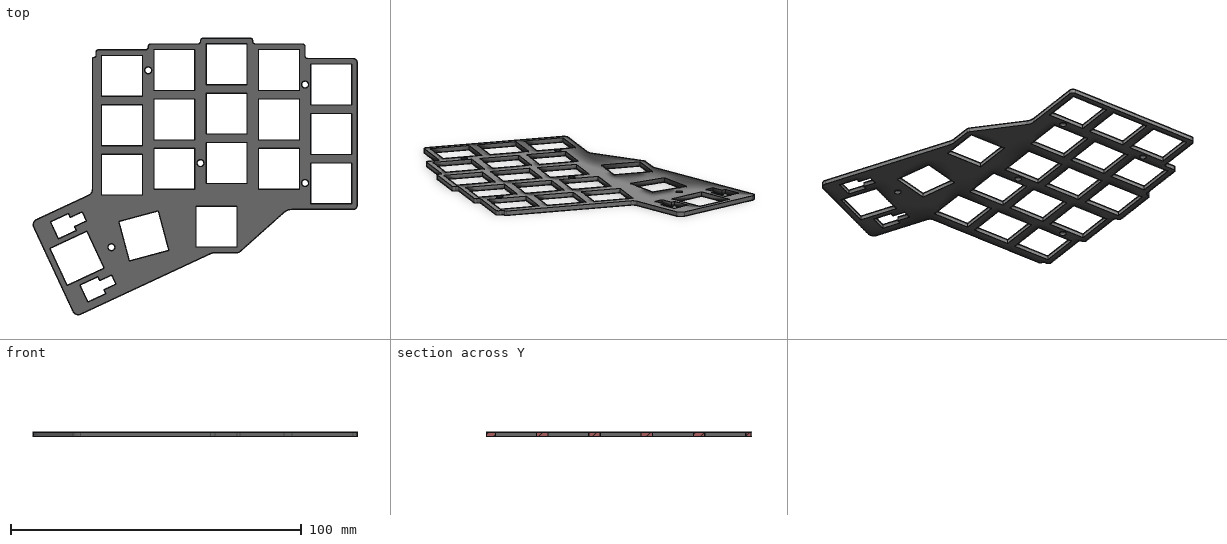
import cadquery as cq
import math


thickness = 1.58
key_size = 14.0
column_pitch = 18.0
row_pitch = 17.0
rim = 2.0
half_key = key_size / 2
reach = half_key + rim

column_drops = [4.0, 2.0, 0.0, 2.0, 7.0]
rows = (1, 0, -1)

inner_thumb = (-3.5, -38.9)
middle_thumb = (-28.5, -42.1)
middle_thumb_angle = 15.0
outer_thumb = (-51.5, -49.8)
outer_thumb_angle = 25.0
outer_thumb_half_length = 18.0

stabilizer_spacing = 24.0
stabilizer_start = -2.95
stabilizer_body_length = 6.75
stabilizer_body_width = 6.4
stabilizer_tab_length = 4.55
stabilizer_tab_width = 3.4

screw_diameter = 2.3
screw_points = [(-27.0, 14.9), (27.0, 10.0), (-9.0, -17.05), (27.0, -23.9), (-39.65, -46.0)]

left_edge_x = -46.25
left_shoulder_y = 19.4
diagonal_top_x = 20.9
diagonal_bottom_x = 4.2
step_radius = 0.9
shoulder_radius = 0.6
corner_radius = 1.5
thumb_corner_radius = 2.0
bend_radius = 4.0


def column_x(column):
    """X of a column centre, the middle column being at zero."""
    return (column - len(column_drops) // 2) * column_pitch


def outer_thumb_point(along, across):
    """Plate position of a point given in the turned frame of the outer thumb key."""
    angle = math.radians(outer_thumb_angle)
    x = outer_thumb[0] + along * math.cos(angle) - across * math.sin(angle)
    y = outer_thumb[1] + along * math.sin(angle) + across * math.cos(angle)
    return (x, y)


def top_edge_y(column):
    return row_pitch - column_drops[column] + reach


def outline_corners():
    """Corners of the plate as (x, y, rounding radius), clockwise from the left shoulder."""
    slope = math.tan(math.radians(outer_thumb_angle))
    last = len(column_drops) - 1
    right_x = column_x(last) + reach
    finger_bottom_y = -row_pitch - column_drops[last] - reach
    thumb_bottom_y = inner_thumb[1] - reach

    corners = [
        (left_edge_x, left_shoulder_y, shoulder_radius),
        (column_x(0) - reach, left_shoulder_y, shoulder_radius),
        (column_x(0) - reach, top_edge_y(0), step_radius),
    ]
    for column in range(last):
        step_x = column_x(column) + column_pitch / 2
        corners.append((step_x, top_edge_y(column), step_radius))
        corners.append((step_x, top_edge_y(column + 1), step_radius))
    corners += [
        (right_x, top_edge_y(last), corner_radius),
        (right_x, finger_bottom_y, corner_radius),
        (diagonal_top_x, finger_bottom_y, bend_radius),
        (diagonal_bottom_x, thumb_bottom_y, corner_radius),
    ]

    lower_left = outer_thumb_point(-reach, -outer_thumb_half_length)
    upper_left = outer_thumb_point(-reach, outer_thumb_half_length)
    bottom_bend_x = lower_left[0] + (thumb_bottom_y - lower_left[1]) / slope
    left_bend_y = upper_left[1] + (left_edge_x - upper_left[0]) * slope
    corners += [
        (bottom_bend_x, thumb_bottom_y, bend_radius),
        (*lower_left, thumb_corner_radius),
        (*upper_left, thumb_corner_radius),
        (left_edge_x, left_bend_y, thumb_corner_radius),
    ]
    return corners


def rounded_corner(before, corner, after):
    """Start, middle and end of the arc that rounds a corner."""
    x, y, radius = corner
    here = cq.Vector(x, y)
    to_before = (cq.Vector(before[0], before[1]) - here).normalized()
    to_after = (cq.Vector(after[0], after[1]) - here).normalized()
    half_angle = to_before.getAngle(to_after) / 2
    setback = radius / math.tan(half_angle)
    bisector = (to_before + to_after).normalized()
    middle = here + bisector * (radius / math.sin(half_angle) - radius)
    return here + to_before * setback, middle, here + to_after * setback


def make_blank():
    """Solid plate with rounded outline."""
    corners = outline_corners()
    count = len(corners)
    arcs = [rounded_corner(corners[i - 1], corners[i], corners[(i + 1) % count]) for i in range(count)]
    last_end = arcs[-1][2]
    outline = cq.Workplane("XY").moveTo(last_end.x, last_end.y)
    for start, middle, end in arcs:
        outline = outline.lineTo(start.x, start.y).threePointArc((middle.x, middle.y), (end.x, end.y))
    return outline.close().extrude(thickness)


def key_opening(centre, angle=0.0):
    opening = cq.Workplane("XY").rect(key_size, key_size).extrude(thickness)
    return opening.rotate((0, 0, 0), (0, 0, 1), angle).translate((*centre, 0))


def stabilizer_opening(side):
    """T-shaped opening beside the outer thumb key; side is +1 or -1."""
    middle = side * stabilizer_spacing / 2
    body_end = stabilizer_start + stabilizer_body_length
    tab_end = body_end + stabilizer_tab_length
    body_half = stabilizer_body_width / 2
    tab_half = stabilizer_tab_width / 2
    profile = [
        (stabilizer_start, -body_half),
        (body_end, -body_half),
        (body_end, -tab_half),
        (tab_end, -tab_half),
        (tab_end, tab_half),
        (body_end, tab_half),
        (body_end, body_half),
        (stabilizer_start, body_half),
    ]
    points = [outer_thumb_point(along, middle + across) for along, across in profile]
    return cq.Workplane("XY").polyline(points).close().extrude(thickness)


def cut_finger_keys(plate):
    for column, drop in enumerate(column_drops):
        for row in rows:
            plate = plate.cut(key_opening((column_x(column), row * row_pitch - drop)))
    return plate


def cut_thumb_keys(plate):
    plate = plate.cut(key_opening(inner_thumb))
    plate = plate.cut(key_opening(middle_thumb, middle_thumb_angle))
    plate = plate.cut(key_opening(outer_thumb, outer_thumb_angle))
    for side in (1, -1):
        plate = plate.cut(stabilizer_opening(side))
    return plate


def cut_screw_holes(plate):
    holes = cq.Workplane("XY").pushPoints(screw_points).circle(screw_diameter / 2).extrude(thickness)
    return plate.cut(holes)


result = cut_screw_holes(cut_thumb_keys(cut_finger_keys(make_blank())))